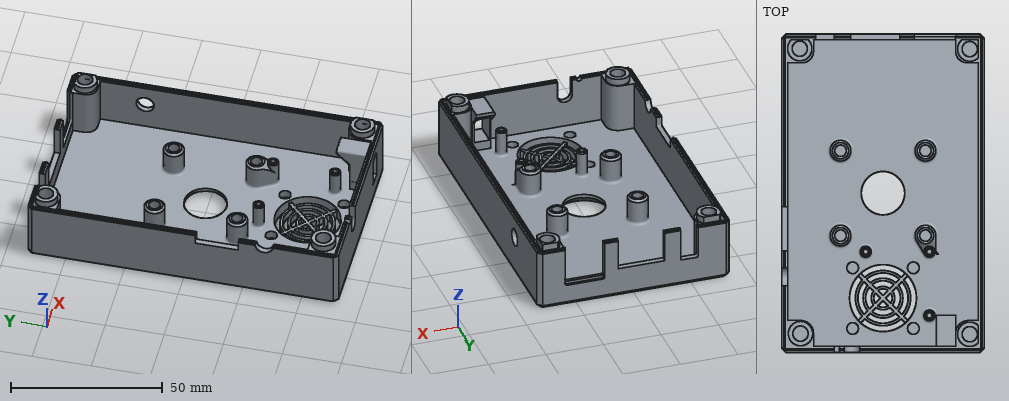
import cadquery as cq
import math

LENGTH_X = 66.8
LENGTH_Y = 105.1
TOTAL_HEIGHT = 23.69
COLLAR_RISE = 2.4
RIM_Z = TOTAL_HEIGHT - COLLAR_RISE
WALL = 2.0
FLOOR_Z = 4.2
EDGE_CHAMFER = 1.5
INNER_X = LENGTH_X / 2 - WALL
INNER_Y = LENGTH_Y / 2 - WALL
WALL_CUT = 2 * WALL

TONGUE_HEIGHT = 0.4
TONGUE_INSET = 0.75
TONGUE_WIDTH = 0.5
TONGUE_TOP_Z = RIM_Z + TONGUE_HEIGHT
CUT_TOP_Z = TONGUE_TOP_Z + 1

BOSS_HOLE_DIAMETER = 5.05
COLLAR_DIAMETER = 8.05
CORNER_BOSSES = [
    (-27.2, -46.3, -22.9, -41.95, 4.3),
    (28.6, -46.5, 23.95, -41.95, 4.3),
    (-27.45, 47.65, -22.9, 43.0, 3.8),
    (28.6, 47.5, 23.95, 43.0, 3.8),
]

SUPPORT_TOP_Z = 13.4
BASE_FILLET = 1.0
STANDOFF_SPACING = 28.0
STANDOFF_DIAMETER = 6.86
STANDOFF_HOLE_DIAMETER = 3.81
STANDOFF_CHAMFER = 0.75
POST_DIAMETER = 3.61
POST_HOLE_DIAMETER = 1.81
POST_CHAMFER = 0.4
TOLERANCE = 0.01
POST_SPACING = 21.0
POST_LEFT_X = -5.7
POST_REAR_Y = -19.3
POST_RIGHT_X = POST_LEFT_X + POST_SPACING
POST_FRONT_Y = POST_REAR_Y - POST_SPACING
POSTS = [(POST_LEFT_X, POST_REAR_Y), (POST_RIGHT_X, POST_REAR_Y), (POST_RIGHT_X, POST_FRONT_Y)]

LENS_HOLE_DIAMETER = 14.25
LENS_FLARE_TOP_Z = 3.0
FAN_Y = -34.6
FAN_DIAMETER = 22.0
FAN_SCREW_SPACING = 20.0
FAN_SCREW_DIAMETER = 3.86
FAN_SCREW_DEPTH = 3.0
GRILLE_THICKNESS = 3.0
GRILLE_RING_RADII = [9.15, 6.6, 3.9]
GRILLE_RING_WIDTH = 0.9
SPOKE_WIDTH = 1.25

CABLE_SLOT_X = -10.25
CABLE_SLOT_WIDTH = 5.05
CABLE_SLOT_BOTTOM_Z = 13.3
WIRE_NOTCH_X = -15.2
WIRE_NOTCH_DIAMETER = 1.81
WIRE_NOTCH_Z = 21.4
WINDOW_X = 20.55
WINDOW_WIDTH = 5.3
WINDOW_BOTTOM_Z = 7.4
WINDOW_TOP_Z = 17.8
WINDOW_CORNER_RADIUS = 1.6

HOOD_LEFT_X = 17.5
HOOD_RIGHT_X = 24.0
HOOD_END_Y = -40.2
HOOD_TOP_Z = 20.7
HOOD_END_THICKNESS = 1.2
HOOD_OVERHANG = 4.5
HOOD_FILLET = 0.8

PLUG_NOTCH_Y = (-18.9, -4.4)
PLUG_NOTCH_BOTTOM_Z = 17.9
PLUG_NOTCH_FILLET = 0.4
ROUND_NOTCH_Y = -27.6
SIDE_HOLE_DIAMETER = 6.0
ROUND_NOTCH_Z = 21.7
SIDE_HOLE_Y = 27.8
SIDE_HOLE_Z = 14.0

REAR_GAPS = [(-22.1, -16.1, 10.0, 0.6), (-10.6, 5.6, 10.8, 0), (10.3, 23.8, 8.8, 0.6)]
PLUG_RECESS_X = (10.3, 24.1)
PLUG_RECESS_BOTTOM_Z = 7.8
PLUG_RECESS_DEPTH = 0.9
PLUG_RECESS_FILLET = 1.0


def block(x_range, y_range, z_range):
    """Box between the given limits."""
    sizes = [high - low for low, high in (x_range, y_range, z_range)]
    return cq.Workplane("XY").box(*sizes, centered=False).translate(
        (x_range[0], y_range[0], z_range[0])
    )


def cylinder(x, y, diameter, bottom_z, top_z):
    """Upright cylinder."""
    return cq.Workplane("XY", (x, y, bottom_z)).circle(diameter / 2).extrude(top_z - bottom_z)


def across_x(x, y, z, diameter):
    """Cylinder along X through the wall centred at x."""
    start_x = x - WALL_CUT / 2
    return cq.Workplane("YZ", (start_x, y, z)).circle(diameter / 2).extrude(WALL_CUT)


def across_y(x, y, z, diameter):
    """Cylinder along Y through the wall centred at y."""
    start_y = y + WALL_CUT / 2
    return cq.Workplane("XZ", (x, start_y, z)).circle(diameter / 2).extrude(WALL_CUT)


def rim_outline(inset, height):
    """Chamfered housing outline, inset from the outer faces, on top of the rim."""
    solid = cq.Workplane("XY", (0, 0, RIM_Z)).rect(LENGTH_X, LENGTH_Y).extrude(height)
    solid = solid.edges("|Z").chamfer(EDGE_CHAMFER)
    return solid.intersect(
        cq.Workplane("XY", (0, 0, RIM_Z))
        .rect(LENGTH_X - 2 * inset, LENGTH_Y - 2 * inset)
        .extrude(height)
    )


def shell():
    """Open tray with chamfered outer corners and a tongue along its rim."""
    body = cq.Workplane("XY").rect(LENGTH_X, LENGTH_Y).extrude(RIM_Z)
    body = body.edges("|Z").chamfer(EDGE_CHAMFER).faces("<Z").chamfer(EDGE_CHAMFER)
    tongue = rim_outline(TONGUE_INSET, TONGUE_HEIGHT)
    tongue = tongue.cut(rim_outline(TONGUE_INSET + TONGUE_WIDTH, TONGUE_HEIGHT))
    return body.cut(cavity()).union(tongue)


def cavity():
    """Inside space above the floor."""
    return block((-INNER_X, INNER_X), (-INNER_Y, INNER_Y), (FLOOR_Z, TOTAL_HEIGHT))


def add_corner_bosses(body):
    """Corner screw bosses with collars cut flat where they would reach into a wall."""
    for x, y, edge_x, edge_y, radius in CORNER_BOSSES:
        wall_x = INNER_X if x > 0 else -INNER_X
        wall_y = INNER_Y if y > 0 else -INNER_Y
        boss = block(sorted((wall_x, edge_x)), sorted((wall_y, edge_y)), (FLOOR_Z, RIM_Z))
        free_edge = cq.selectors.NearestToPointSelector((edge_x, edge_y, RIM_Z / 2))
        boss = boss.edges("|Z").edges(free_edge).fillet(radius)
        collar = cylinder(x, y, COLLAR_DIAMETER, RIM_Z, TOTAL_HEIGHT).intersect(cavity())
        body = body.union(boss).union(collar)
    for x, y, *_ in CORNER_BOSSES:
        body = body.cut(cylinder(x, y, BOSS_HOLE_DIAMETER, FLOOR_Z, TOTAL_HEIGHT))
    return body


def round_support(x, y, diameter, chamfer):
    """Upright post with a chamfered top and a filleted foot."""
    radius = diameter / 2
    foot_z = FLOOR_Z + BASE_FILLET
    foot_radius = radius + BASE_FILLET
    bend = BASE_FILLET * (1 - math.sqrt(0.5))
    profile = (
        cq.Workplane("XZ")
        .moveTo(0, FLOOR_Z)
        .lineTo(foot_radius, FLOOR_Z)
        .threePointArc((radius + bend, FLOOR_Z + bend), (radius, foot_z))
        .lineTo(radius, SUPPORT_TOP_Z - chamfer)
        .lineTo(radius - chamfer, SUPPORT_TOP_Z)
        .lineTo(0, SUPPORT_TOP_Z)
        .close()
    )
    return profile.revolve(360, (0, 0, 0), (0, 1, 0)).translate((x, y, 0))


def paired_support(x, y, post_x, post_y):
    """Standoff webbed to a post, the web's top cut by the cone of the standoff's chamfer."""
    radius = STANDOFF_DIAMETER / 2
    post_radius = POST_DIAMETER / 2
    height = SUPPORT_TOP_Z - FLOOR_Z
    distance = math.hypot(post_x - x, post_y - y)
    towards_post = math.atan2(post_y - y, post_x - x)
    facing = towards_post - math.acos((radius - post_radius) / distance)

    def on_standoff(angle):
        return (x + radius * math.cos(angle), y + radius * math.sin(angle))

    def on_post(angle):
        return (post_x + post_radius * math.cos(angle), post_y + post_radius * math.sin(angle))

    column = (
        cq.Workplane("XY", (0, 0, FLOOR_Z))
        .moveTo(*on_standoff(0))
        .threePointArc(on_standoff(facing / 2 + math.pi), on_standoff(facing))
        .lineTo(*on_post(facing))
        .threePointArc(on_post(facing / 2), on_post(0))
        .lineTo(x + radius, post_y)
        .close()
        .extrude(height)
    )
    top_radius = radius - STANDOFF_CHAMFER
    cone = cq.Solid.makeCone(top_radius + height, top_radius, height, cq.Vector(x, y, FLOOR_Z))
    post = cylinder(post_x, post_y, POST_DIAMETER, FLOOR_Z, SUPPORT_TOP_Z)
    post = post.faces(">Z").chamfer(POST_CHAMFER)
    pad_size = 4 * STANDOFF_DIAMETER
    above_cone = cq.Workplane("XY", (x, y, FLOOR_Z)).rect(pad_size, pad_size).extrude(height)
    column = column.cut(above_cone.cut(cq.Workplane(cone)).cut(post))
    pad = cq.Workplane("XY", (x, y, 0)).rect(pad_size, pad_size).extrude(FLOOR_Z)
    reach = STANDOFF_DIAMETER + POST_DIAMETER
    foot_edges = cq.selectors.BoxSelector(
        (x - reach, y - reach, FLOOR_Z - TOLERANCE), (x + reach, y + reach, FLOOR_Z + TOLERANCE)
    )
    return pad.union(column).edges(foot_edges).fillet(BASE_FILLET)


def add_supports(body):
    """Standoffs and posts with their screw holes; the two that stand close together are webbed."""
    half = STANDOFF_SPACING / 2
    standoffs = [(x, y) for x in (-half, half) for y in (-half, half)]
    webbed_standoff = (half, -half)
    webbed_post = (POST_RIGHT_X, POST_REAR_Y)
    body = body.union(paired_support(*webbed_standoff, *webbed_post))
    for x, y in standoffs:
        if (x, y) != webbed_standoff:
            body = body.union(round_support(x, y, STANDOFF_DIAMETER, STANDOFF_CHAMFER))
        body = body.cut(cylinder(x, y, STANDOFF_HOLE_DIAMETER, FLOOR_Z, SUPPORT_TOP_Z))
    for x, y in POSTS:
        if (x, y) != webbed_post:
            body = body.union(round_support(x, y, POST_DIAMETER, POST_CHAMFER))
        body = body.cut(cylinder(x, y, POST_HOLE_DIAMETER, FLOOR_Z, SUPPORT_TOP_Z))
    return body


def fan_grille():
    """Rings and two crossed spokes that fill the bottom of the fan opening."""
    disc = cylinder(0, FAN_Y, FAN_DIAMETER, 0, GRILLE_THICKNESS)
    grille = None
    for angle in (45, 135):
        spoke = cq.Workplane("XY").rect(FAN_DIAMETER, SPOKE_WIDTH).extrude(GRILLE_THICKNESS)
        spoke = spoke.rotate((0, 0, 0), (0, 0, 1), angle).translate((0, FAN_Y, 0)).intersect(disc)
        grille = spoke if grille is None else grille.union(spoke)
    for radius in GRILLE_RING_RADII:
        ring = cylinder(0, FAN_Y, 2 * radius, 0, GRILLE_THICKNESS)
        hole = cylinder(0, FAN_Y, 2 * (radius - GRILLE_RING_WIDTH), 0, GRILLE_THICKNESS)
        grille = grille.union(ring.cut(hole))
    return grille


def cut_floor(body):
    """Lens hole flared towards the underside, fan opening with its grille, and blind fan screw holes."""
    lens_radius = LENS_HOLE_DIAMETER / 2
    flare = cq.Solid.makeCone(lens_radius + LENS_FLARE_TOP_Z, lens_radius, LENS_FLARE_TOP_Z)
    body = body.cut(cylinder(0, 0, LENS_HOLE_DIAMETER, 0, FLOOR_Z)).cut(cq.Workplane(flare))
    fan_opening = cylinder(0, FAN_Y, FAN_DIAMETER, 0, FLOOR_Z)
    body = body.cut(fan_opening.cut(fan_grille()))
    half = FAN_SCREW_SPACING / 2
    for x in (-half, half):
        for y in (FAN_Y - half, FAN_Y + half):
            body = body.cut(cylinder(x, y, FAN_SCREW_DIAMETER, FLOOR_Z - FAN_SCREW_DEPTH, FLOOR_Z))
    return body


def add_hood(body):
    """Block behind the window whose flat top runs out over a 45 degree underside."""
    end_bottom_z = HOOD_TOP_Z - HOOD_END_THICKNESS
    hood = (
        cq.Workplane("YZ", (HOOD_LEFT_X, 0, 0))
        .moveTo(-INNER_Y, HOOD_TOP_Z)
        .lineTo(HOOD_END_Y, HOOD_TOP_Z)
        .lineTo(HOOD_END_Y, end_bottom_z)
        .lineTo(HOOD_END_Y - HOOD_OVERHANG, end_bottom_z - HOOD_OVERHANG)
        .lineTo(HOOD_END_Y - HOOD_OVERHANG, FLOOR_Z)
        .lineTo(-INNER_Y, FLOOR_Z)
        .close()
        .extrude(HOOD_RIGHT_X - HOOD_LEFT_X)
    )
    hood = hood.edges("|Y and >Z and <X").fillet(HOOD_FILLET)
    return body.union(hood)


def cut_front_wall(body):
    """Cable slot, wire notch and the window that runs on under the hood."""
    front_y = -LENGTH_Y / 2 + WALL / 2
    slot_centre_z = CABLE_SLOT_BOTTOM_Z + CABLE_SLOT_WIDTH / 2
    slot_half = CABLE_SLOT_WIDTH / 2
    through = (front_y - WALL_CUT / 2, front_y + WALL_CUT / 2)
    slot = block(
        (CABLE_SLOT_X - slot_half, CABLE_SLOT_X + slot_half), through, (slot_centre_z, CUT_TOP_Z)
    )
    body = body.cut(slot).cut(across_y(CABLE_SLOT_X, front_y, slot_centre_z, CABLE_SLOT_WIDTH))
    body = body.cut(across_y(WIRE_NOTCH_X, front_y, WIRE_NOTCH_Z, WIRE_NOTCH_DIAMETER))
    window = block(
        (WINDOW_X - WINDOW_WIDTH / 2, WINDOW_X + WINDOW_WIDTH / 2),
        (-LENGTH_Y / 2, HOOD_END_Y),
        (WINDOW_BOTTOM_Z, WINDOW_TOP_Z),
    )
    return body.cut(window.faces(">Z").edges("|Y").fillet(WINDOW_CORNER_RADIUS))


def cut_side_walls(body):
    """Plug notch and round notch in the left wall, round hole in the right wall."""
    middle_x = LENGTH_X / 2 - WALL / 2
    through = (-middle_x - WALL_CUT / 2, -middle_x + WALL_CUT / 2)
    plug_notch = block(through, PLUG_NOTCH_Y, (PLUG_NOTCH_BOTTOM_Z, CUT_TOP_Z))
    plug_notch = plug_notch.faces("<Z").edges("|X").fillet(PLUG_NOTCH_FILLET)
    body = body.cut(plug_notch)
    body = body.cut(across_x(-middle_x, ROUND_NOTCH_Y, ROUND_NOTCH_Z, SIDE_HOLE_DIAMETER))
    return body.cut(across_x(middle_x, SIDE_HOLE_Y, SIDE_HOLE_Z, SIDE_HOLE_DIAMETER))


def cut_rear_wall(body):
    """Three gaps that leave two upright tabs, the right gap with a deeper outer recess."""
    outer_y = LENGTH_Y / 2
    for left_x, right_x, sill_z, radius in REAR_GAPS:
        gap = block((left_x, right_x), (INNER_Y, outer_y), (sill_z, CUT_TOP_Z))
        if radius:
            gap = gap.faces("<Z").edges("|Y").fillet(radius)
        body = body.cut(gap)
    recess = block(
        PLUG_RECESS_X, (outer_y - PLUG_RECESS_DEPTH, outer_y), (PLUG_RECESS_BOTTOM_Z, CUT_TOP_Z)
    )
    return body.cut(recess.faces("<Z").edges("|Y").fillet(PLUG_RECESS_FILLET))


housing = shell()
housing = add_corner_bosses(housing)
housing = add_supports(housing)
housing = cut_floor(housing)
housing = add_hood(housing)
housing = cut_front_wall(housing)
housing = cut_side_walls(housing)
housing = cut_rear_wall(housing)

result = cq.Compound.makeCompound([housing.val()])